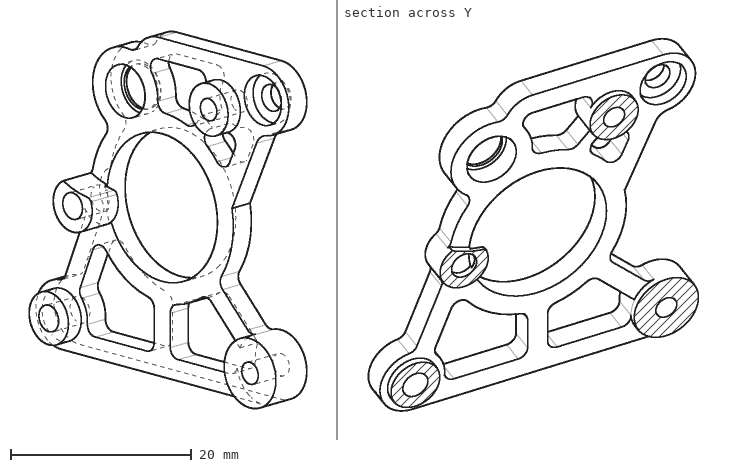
import cadquery as cq
import math

plate_thickness = 2.9
total_depth = 7.35
half_size = 19.5
strut_width = 2.5
web_width = 1.6
corner_radius = 1.17

ring_outer_radius = 10.95
ring_bore_diameter = 17.0

pad_diameter = 8.0
pad_offset = half_size - pad_diameter / 2
left_pad = (-pad_offset, -pad_offset)
right_pad = (pad_offset, -pad_offset)
top_pad = (pad_offset, pad_offset)
rim_inner_height = half_size - strut_width

eye_center = (-5.7, 12.25)
eye_radius = 5.05
eye_hole_diameter = 5.15
eye_recess_diameter = 6.1
eye_recess_depth = 2.5

small_boss_center = (9.05, 13.55)
small_boss_diameter = 6.0
small_boss_height = 1.95
boss_height = 2.03
left_boss_diameter = 6.1
screw_hole_diameter = 3.05
small_hole_diameter = 2.55
top_recess_diameter = 5.7
top_recess_depth = 1.4

post_center = (-9.48, -0.8)
post_diameter = 6.0
post_height = total_depth - plate_thickness
post_clearance_radius = 11.7
post_edge_radius = 0.6
post_gap = 0.3
right_strut_end = (8.42, 0)
pad_blend_radius = 1.95
post_blend_radius = 1.0


def cylinder(center, diameter, front, back):
    """Cylinder along Y from y = front to y = back."""
    x, z = center
    return (
        cq.Workplane("XZ", origin=(x, front, z))
        .circle(diameter / 2)
        .extrude(front - back)
    )


def plate_disc(center, radius):
    return cylinder(center, 2 * radius, 0, plate_thickness)


def plate_polygon(points):
    return cq.Workplane("XZ").polyline(points).close().extrude(-plate_thickness)


def strut(start, end, width):
    """Straight plate bar of the given width between two centre points."""
    length = math.dist(start, end)
    side_x = -(end[1] - start[1]) / length * width / 2
    side_z = (end[0] - start[0]) / length * width / 2
    return plate_polygon([
        (start[0] + side_x, start[1] + side_z),
        (end[0] + side_x, end[1] + side_z),
        (end[0] - side_x, end[1] - side_z),
        (start[0] - side_x, start[1] - side_z),
    ])


def round_corner(body, point, radius):
    """Fillet the through-thickness edge nearest to a point of the plate."""
    target = cq.Vector(point[0], plate_thickness / 2, point[1])
    edges = body.edges("|Y").vals()
    nearest = min(edges, key=lambda edge: (edge.Center() - target).Length)
    return body.newObject([nearest]).fillet(radius)


small_boss_radius = small_boss_diameter / 2
plate = plate_disc((0, 0), ring_outer_radius)
for pad in (left_pad, right_pad, top_pad):
    plate = plate.union(plate_disc(pad, pad_diameter / 2))
plate = plate.union(plate_disc(eye_center, eye_radius))
plate = plate.union(plate_disc(small_boss_center, small_boss_radius))
plate = plate.union(plate_disc(post_center, post_diameter / 2))

rim_middle = half_size - strut_width / 2
rim_corner_radius = corner_radius + strut_width
rim_corner_z = half_size - rim_corner_radius
rim_corner_x = eye_center[0] + math.sqrt(
    (eye_radius + corner_radius) ** 2 - (rim_corner_z - eye_center[1]) ** 2
)
rim_corner = plate_disc((rim_corner_x, rim_corner_z), rim_corner_radius).intersect(
    strut((-half_size, rim_middle), (half_size, rim_middle), strut_width)
)
plate = plate.union(rim_corner)

web_direction = math.sqrt(0.5)
web_start = (
    small_boss_center[0] - ring_outer_radius * web_direction,
    small_boss_center[1] - ring_outer_radius * web_direction,
)
for start, end, width in (
    ((-pad_offset, -rim_middle), (pad_offset, -rim_middle), strut_width),
    ((rim_corner_x, rim_middle), (pad_offset, rim_middle), strut_width),
    (left_pad, post_center, strut_width),
    (right_pad, (0, 0), strut_width),
    ((0, 0), (0, -rim_middle), strut_width),
    (top_pad, right_strut_end, strut_width),
    (web_start, small_boss_center, web_width),
):
    plate = plate.union(strut(start, end, width))


def fill_beside_small_boss(line_point, direction, normal):
    """Fill between the small boss, the top pad and a straight wall, leaving a rounded window end.

    The unit direction runs along the wall, away from the top pad; the unit normal points to the boss.
    """
    to_boss = (small_boss_center[0] - line_point[0], small_boss_center[1] - line_point[1])
    boss_along = to_boss[0] * direction[0] + to_boss[1] * direction[1]
    boss_away = to_boss[0] * normal[0] + to_boss[1] * normal[1]
    reach = small_boss_radius + corner_radius
    along = boss_along + math.sqrt(reach ** 2 - (boss_away - corner_radius) ** 2)
    foot = (line_point[0] + along * direction[0], line_point[1] + along * direction[1])
    center = (foot[0] + corner_radius * normal[0], foot[1] + corner_radius * normal[1])
    filler = plate_polygon([small_boss_center, center, foot, line_point, top_pad])
    return filler.cut(plate_disc(center, corner_radius))


plate = plate.union(fill_beside_small_boss((pad_offset, rim_inner_height), (-1, 0), (0, -1)))
strut_length = math.dist(top_pad, right_strut_end)
strut_x = (right_strut_end[0] - top_pad[0]) / strut_length
strut_z = (right_strut_end[1] - top_pad[1]) / strut_length
inner_wall_point = (
    top_pad[0] + strut_z * strut_width / 2,
    top_pad[1] - strut_x * strut_width / 2,
)

plate = plate.union(
    fill_beside_small_boss(inner_wall_point, (strut_x, strut_z), (strut_z, -strut_x))
)

half_strut = strut_width / 2
window_corners = [
    (-11.9, -rim_inner_height),
    (-half_strut, -rim_inner_height),
    (-half_strut, -ring_outer_radius),
    (-9.35, -5.45),
    (-13.65, -12.1),
    (half_strut, -rim_inner_height),
    (half_strut, -ring_outer_radius),
    (6.63, -8.58),
    (11.9, -rim_inner_height),
    (-3.9, rim_inner_height),
    (-0.78, 10.92),
    (4.5, 9.95),
    (5.85, 9.15),
    (7.55, 10.92),
    (9.75, 5.45),
]
outer_corners = [
    (-4.3, 17.1),
    (-8.4, 7.8),
    (8.4, -6.82),
    (13.25, -12.1),
    (-15.0, -11.5),
]
pad_blend_corner = (15.2, 11.5)
post_corners = [
    (-10.92, 1.95),
    (-11.7, -2.73),
]
for corner in window_corners + outer_corners:
    plate = round_corner(plate, corner, corner_radius)
plate = round_corner(plate, pad_blend_corner, pad_blend_radius)
for corner in post_corners:
    plate = round_corner(plate, corner, post_blend_radius)
plate = plate.cut(cylinder((0, 0), ring_bore_diameter, 0, plate_thickness))

body = plate
for center, diameter, height in (
    (left_pad, left_boss_diameter, boss_height),
    (right_pad, pad_diameter, boss_height),
    (small_boss_center, small_boss_diameter, small_boss_height),
):
    body = body.union(cylinder(center, diameter, -height, 0))

post = cylinder(post_center, post_diameter, -post_height, 0)
post = post.cut(cylinder(eye_center, 2 * post_clearance_radius, -post_height, 0))
post = post.edges("|Y").edges(">X").fillet(post_edge_radius)
post = post.cut(cylinder(post_center, screw_hole_diameter, -post_height, 0))
post = post.cut(cylinder((0, 0), ring_bore_diameter, -post_gap, 0))
body = body.union(post)

for center, diameter in (
    (left_pad, screw_hole_diameter),
    (top_pad, screw_hole_diameter),
    (right_pad, small_hole_diameter),
    (small_boss_center, small_hole_diameter),
    (eye_center, eye_hole_diameter),
):
    body = body.cut(cylinder(center, diameter, -boss_height, plate_thickness))
body = body.cut(cylinder(eye_center, eye_recess_diameter, 0, eye_recess_depth))
body = body.cut(cylinder(top_pad, top_recess_diameter, 0, top_recess_depth))

result = body